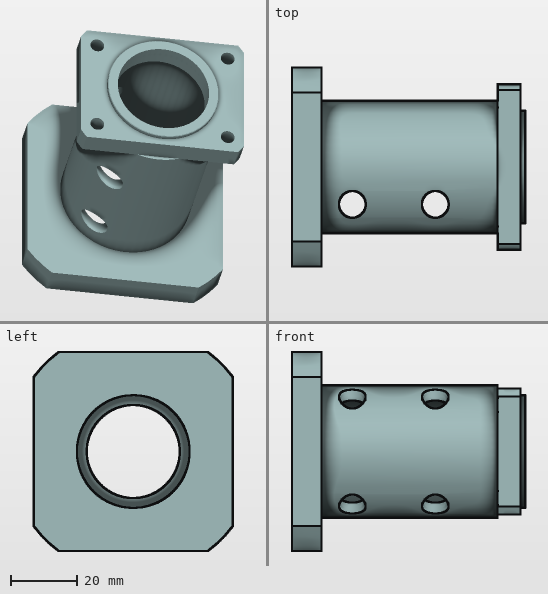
import cadquery as cq

flange_thickness = 9.0
tube_end = 62.0
end_plate_thickness = 7.0
spigot_length = 1.5
end_plate_face = tube_end + end_plate_thickness
total_length = end_plate_face + spigot_length

flange_side = 60.0
flange_corner_diameter = 75.0

end_plate_width = 50.0
end_plate_height = 38.0
end_plate_corner_diameter = 60.0

tube_diameter = 40.0
spigot_diameter = 34.0
spigot_chamfer = 0.2

wide_bore_diameter = 34.0
narrow_bore_diameter = 28.0
end_plate_web = 5.5
wide_bore_depth = end_plate_face - end_plate_web

cross_hole_diameter = 8.0
cross_hole_offset = -11.25
cross_hole_first = 18.25
cross_hole_spacing = 25.0
cross_hole_count = 2

bolt_hole_diameter = 4.2
bolt_spacing_y = 40.0
bolt_spacing_z = 28.0


def cylinder_along_x(diameter, start, length):
    """Cylinder on the X axis, running from start toward +X."""
    return cq.Workplane("YZ").workplane(offset=start).circle(diameter / 2).extrude(length)


def turned_plate(width, height, corner_diameter, start, thickness):
    """Rectangular plate across the X axis whose corners lie on a circle."""
    plate = cq.Workplane("YZ").workplane(offset=start).rect(width, height).extrude(thickness)
    return plate.intersect(cylinder_along_x(corner_diameter, start, thickness))


def make_body():
    """Flange, tube, end plate and chamfered spigot joined together."""
    flange = turned_plate(flange_side, flange_side, flange_corner_diameter, 0, flange_thickness)
    tube = cylinder_along_x(tube_diameter, 0, tube_end)
    end_plate = turned_plate(
        end_plate_width, end_plate_height, end_plate_corner_diameter, tube_end, end_plate_thickness
    )
    spigot = cylinder_along_x(spigot_diameter, tube_end, total_length - tube_end)
    spigot = spigot.faces(">X").chamfer(spigot_chamfer)
    return flange.union(tube).union(end_plate).union(spigot)


def cut_bore(body):
    """Cut the stepped bore along the X axis."""
    wide_bore = cylinder_along_x(wide_bore_diameter, 0, wide_bore_depth)
    narrow_bore = cylinder_along_x(narrow_bore_diameter, 0, total_length)
    return body.cut(wide_bore).cut(narrow_bore)


def cut_cross_holes(body):
    """Drill the row of holes through both walls of the tube, parallel to Z."""
    for index in range(cross_hole_count):
        position = cross_hole_first + index * cross_hole_spacing
        drill = (
            cq.Workplane("XY")
            .center(position, cross_hole_offset)
            .circle(cross_hole_diameter / 2)
            .extrude(tube_diameter / 2, both=True)
        )
        body = body.cut(drill)
    return body


def cut_bolt_holes(body):
    """Drill the four corner holes through the end plate."""
    drills = (
        cq.Workplane("YZ")
        .workplane(offset=tube_end)
        .rect(bolt_spacing_y, bolt_spacing_z, forConstruction=True)
        .vertices()
        .circle(bolt_hole_diameter / 2)
        .extrude(end_plate_thickness)
    )
    return body.cut(drills)


result = cut_bolt_holes(cut_cross_holes(cut_bore(make_body())))